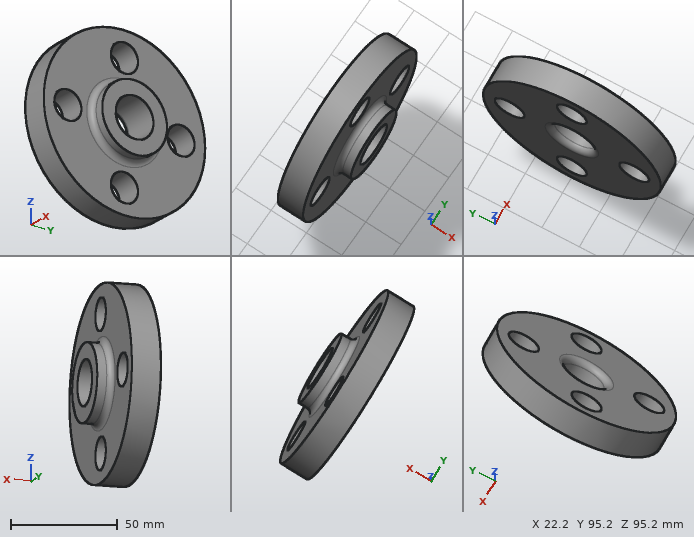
import cadquery as cq

flange_diameter = 95.25
flange_thickness = 14.4
total_length = 22.2
hub_diameter = 38.2

hub_fillet_radius = 3.1

bore_diameter = 22.2
mouth_radius = 3.2

bolt_hole_diameter = 15.9
bolt_circle_diameter = 66.7
bolt_count = 4


def disc(diameter, length):
    """Solid cylinder along +X from the flat face."""
    return cq.Workplane("YZ").circle(diameter / 2).extrude(length)


def make_body():
    """Join the flange and hub and fillet the corner between them."""
    flange = disc(flange_diameter, flange_thickness)
    hub = disc(hub_diameter, total_length)
    corner = cq.selectors.RadiusNthSelector(0)
    flange_back = cq.selectors.CenterNthSelector(cq.Vector(1, 0, 0), -2)
    return flange.union(hub).faces("|X").faces(flange_back).edges(corner).fillet(hub_fillet_radius)


def cut_bore(body):
    """Cut the bore along X and round its edge on the flat face."""
    bored = body.faces("<X").workplane(origin=(0, 0, 0)).hole(bore_diameter)
    mouth_edge = cq.selectors.RadiusNthSelector(0)
    return bored.faces("<X").edges(mouth_edge).fillet(mouth_radius)


def cut_bolt_holes(body):
    """Cut the bolt holes, with the first on the Y axis."""
    holes = (
        cq.Workplane("YZ")
        .polarArray(bolt_circle_diameter / 2, 0, 360, bolt_count)
        .circle(bolt_hole_diameter / 2)
        .extrude(flange_thickness)
    )
    return body.cut(holes)


result = cut_bolt_holes(cut_bore(make_body()))